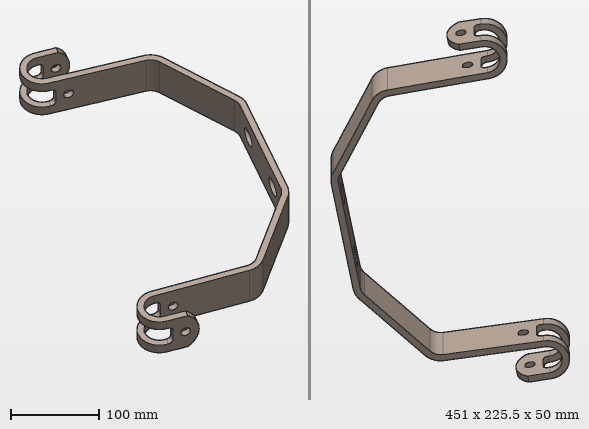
import cadquery as cq
import math

width = 50.0
thickness = 8.0
outer_bend_radius = 25.3
bend_radius = outer_bend_radius - thickness / 2

span = 451.0
depth = 225.5
flat_half_length = 69.5
flank_angle = 35.0
arm_lean = 1.2

tip_y = 64.5
tip_radius = 29.8
pin_hole_y = 48.3
pin_hole_diameter = 11.7
slot_end_y = 33.0
slot_height = 25.3
slot_corner_radius = 5.5

mount_hole_x = 42.0
mount_hole_length = 26.0
mount_hole_height = 18.0


def step(point, heading, distance):
    """Move from a point along a heading in degrees, measured from +X."""
    angle = math.radians(heading)
    return (point[0] + distance * math.cos(angle), point[1] + distance * math.sin(angle))


def bend_end(start, heading_in, heading_out):
    """End of a clockwise bend that turns the centreline from one heading to another."""
    center = step(start, heading_in - 90, bend_radius)
    return step(center, heading_out + 90, bend_radius)


def distance_to_line(point, heading, line_point, line_heading):
    """Distance to travel from a point along a heading to reach a line."""
    normal = step((0, 0), line_heading + 90, 1)
    travel = step((0, 0), heading, 1)
    gap = (line_point[0] - point[0]) * normal[0] + (line_point[1] - point[1]) * normal[1]
    return gap / (travel[0] * normal[0] + travel[1] * normal[1])


def make_half_strip():
    """Bent strip for X >= 0, with a square hook end."""
    flank_heading = -flank_angle
    arm_heading = arm_lean - 90

    hook_center = (span / 2 - outer_bend_radius, outer_bend_radius)
    arm_end = step(hook_center, arm_heading - 90, bend_radius)
    hook_end = step(hook_center, 0, bend_radius)

    flat_start = (0, depth - thickness / 2)
    flat_end = step(flat_start, 0, flat_half_length)
    flank_start = bend_end(flat_end, 0, flank_heading)

    bend_without_flank = bend_end(flank_start, flank_heading, arm_heading)
    flank_length = distance_to_line(bend_without_flank, flank_heading, arm_end, arm_heading)
    flank_end = step(flank_start, flank_heading, flank_length)
    arm_start = bend_end(flank_end, flank_heading, arm_heading)

    centreline = (
        cq.Workplane("XY")
        .moveTo(*flat_start)
        .lineTo(*flat_end)
        .tangentArcPoint(flank_start, relative=False)
        .lineTo(*flank_end)
        .tangentArcPoint(arm_start, relative=False)
        .lineTo(*arm_end)
        .tangentArcPoint(hook_end, relative=False)
        .lineTo(hook_end[0], tip_y)
    )
    profile = cq.Workplane("YZ").center(flat_start[1], 0).rect(thickness, width)
    return profile.sweep(centreline)


def make_tip_trim():
    """Material outside the rounded tip, removed from the outer leg of the hook."""
    leg_inside_x = span / 2 - thickness
    tip_center_y = tip_y - tip_radius
    leg_end = (
        cq.Workplane("YZ", origin=(leg_inside_x, 0, 0))
        .center(tip_center_y + tip_radius / 2, 0)
        .rect(tip_radius, width)
        .extrude(thickness)
    )
    rounded_end = (
        cq.Workplane("YZ", origin=(leg_inside_x, 0, 0))
        .center(tip_center_y, 0)
        .circle(tip_radius)
        .extrude(thickness)
    )
    return leg_end.cut(rounded_end)


def make_hook_slot():
    """Slot around the bottom of the hook, rounded at its ends in both legs."""
    return (
        cq.Workplane("YZ")
        .rect(2 * slot_end_y, slot_height)
        .extrude(span / 2)
        .edges("|X")
        .fillet(slot_corner_radius)
    )


def make_pin_hole():
    """Pin hole through both legs of the hook."""
    return cq.Workplane("YZ").center(pin_hole_y, 0).circle(pin_hole_diameter / 2).extrude(span / 2)


def make_mount_hole():
    """Elliptical mounting hole through the flat."""
    return (
        cq.Workplane("XZ", origin=(mount_hole_x, depth, 0))
        .ellipse(mount_hole_length / 2, mount_hole_height / 2)
        .extrude(thickness)
    )


half = make_half_strip()
for cutter in (make_tip_trim(), make_hook_slot(), make_pin_hole(), make_mount_hole()):
    half = half.cut(cutter)

result = half.union(half.mirror("YZ")).clean()